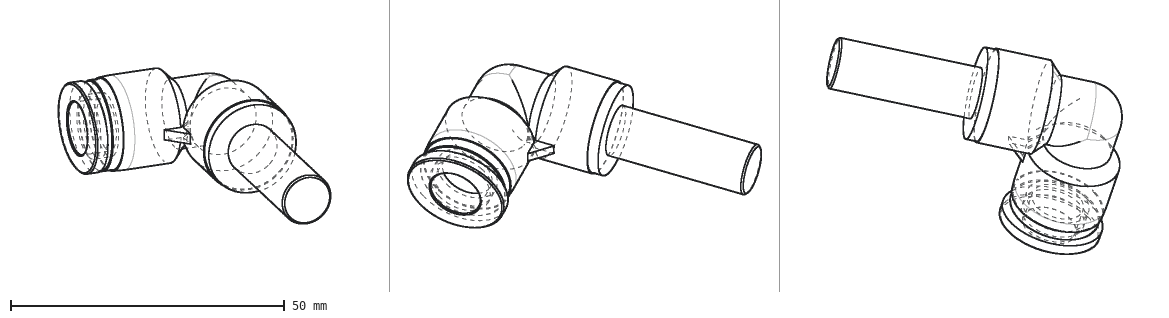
import cadquery as cq

overall_length = 57.5
flange_width = 19.05
stem_end = overall_length - flange_width / 2
port_end = 26.1

body_radius = 8.8
neck_radius = 6.5
stem_cone_start = 6.5
stem_cone_end = stem_cone_start + body_radius - neck_radius
stem_arm_end = 19.0
port_cone_start = 6.9
port_cone_end = port_cone_start + body_radius - neck_radius
port_taper_start = 18.3
port_taper_end = 20.35
port_taper_radius = 8.7
port_collar_radius = 16.9 / 2
port_collar_end = 22.55
collar_chamfer = 0.2

web_reach = 21.2
web_thickness = 1.95

stem_radius = 9.55 / 2
stem_collar_radius = 17.2 / 2
stem_collar_length = 2.05
stem_chamfer = 0.35

sleeve_length = 5.75
sleeve_radius = 11.9 / 2
sleeve_bore_diameter = 9.8
bore_chamfer = 0.25
flange_height = 16.6
flange_thickness = 2.3
flange_chamfer = 0.3


def port_plane(distance):
    """Plane across the port axis, facing outwards along -Y."""
    return cq.Workplane("XZ", origin=(0, -distance, 0))


def make_stem_arm():
    """Arm along +X: neck, cone and full-diameter end."""
    return (
        cq.Workplane("XY")
        .moveTo(0, 0)
        .lineTo(0, neck_radius)
        .lineTo(stem_cone_start, neck_radius)
        .lineTo(stem_cone_end, body_radius)
        .lineTo(stem_arm_end, body_radius)
        .lineTo(stem_arm_end, 0)
        .close()
        .revolve(360, (0, 0, 0), (1, 0, 0))
    )


def make_port_arm():
    """Arm along -Y: neck, cone, full diameter, slight taper and stepped collar."""
    return (
        cq.Workplane("XY")
        .moveTo(0, 0)
        .lineTo(neck_radius, 0)
        .lineTo(neck_radius, -port_cone_start)
        .lineTo(body_radius, -port_cone_end)
        .lineTo(body_radius, -port_taper_start)
        .lineTo(port_taper_radius, -port_taper_end)
        .lineTo(port_collar_radius, -port_taper_end)
        .lineTo(port_collar_radius, -port_collar_end + collar_chamfer)
        .lineTo(port_collar_radius - collar_chamfer, -port_collar_end)
        .lineTo(0, -port_collar_end)
        .close()
        .revolve(360, (0, 0, 0), (0, 1, 0))
    )


def make_web():
    """Triangular web; its square corner is buried between the two arms."""
    corner = neck_radius
    tip = web_reach - corner
    return (
        cq.Workplane("XY")
        .polyline([(corner, -corner), (tip, -corner), (corner, -tip)])
        .close()
        .extrude(web_thickness / 2, both=True)
    )


def make_housing():
    """Elbow with a ball corner and a blind recess for the release sleeve."""
    ball = cq.Workplane("XY").sphere(neck_radius)
    recess_floor = port_end - sleeve_length
    recess = port_plane(recess_floor).circle(sleeve_radius).extrude(port_collar_end - recess_floor)
    return make_stem_arm().union(make_port_arm()).union(ball).union(make_web()).cut(recess)


def make_stem():
    """Plain round stem with a collar that butts against the housing."""
    collar = (
        cq.Workplane("YZ", origin=(stem_arm_end, 0, 0))
        .circle(stem_collar_radius)
        .extrude(stem_collar_length)
    )
    rod = (
        cq.Workplane("YZ", origin=(stem_arm_end, 0, 0))
        .circle(stem_radius)
        .extrude(stem_end - stem_arm_end)
        .faces(">X")
        .chamfer(stem_chamfer)
    )
    return collar.union(rod)


def make_release_sleeve():
    """Bored sleeve with an oval push flange at its outer end."""
    tube = port_plane(port_end - sleeve_length).circle(sleeve_radius).extrude(sleeve_length)
    flange = (
        port_plane(port_end - flange_thickness)
        .ellipse(flange_width / 2, flange_height / 2)
        .extrude(flange_thickness)
        .faces("<Y")
        .chamfer(flange_chamfer)
    )
    bore = port_plane(port_end - sleeve_length).circle(sleeve_bore_diameter / 2).extrude(sleeve_length)
    return flange.union(tube).cut(bore).faces("<Y").edges("%CIRCLE").chamfer(bore_chamfer)


housing = make_housing()
stem = make_stem()
release_sleeve = make_release_sleeve()

result = cq.Compound.makeCompound([housing.val(), stem.val(), release_sleeve.val()])